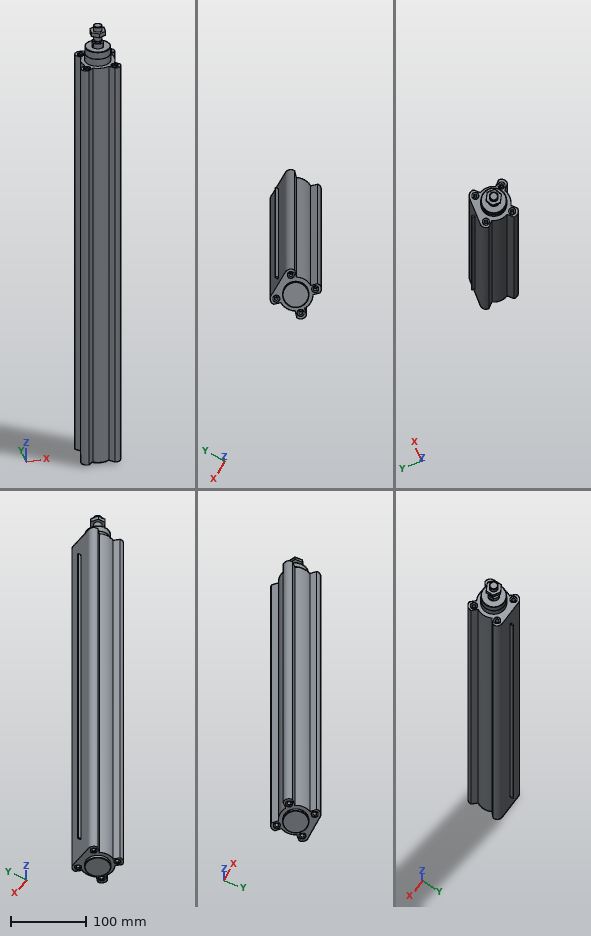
import cadquery as cq
import math

total_length = 662.0
foot_height = 4.5
body_top = 609.0
collar_step = 619.5
collar_top = 630.0

body_width = 54.0
barrel_diameter = 46.5
lobe_spacing = 38.0
flank_start = 18.0

collar_diameter = 35.0
collar_upper_diameter = 34.5
collar_chamfer = 0.5
foot_diameter = 35.0
foot_chamfer = 0.5

screw_hole_diameter = 4.9
screw_hole_depth = 16.0
screw_recess_diameter = 9.0
screw_recess_depth = 2.0

rail_width = 2.0
rail_height = 4.5
rail_bottom = 38.0
rail_top = 576.0

rod_diameter = 16.0
rod_flat_width = 13.0
thread_diameter = 12.0
thread_length = 24.5
thread_chamfer = 1.0
neck_diameter = 10.0
neck_height = 2.0

nut_across_flats = 19.0
nut_height = 6.0
nut_top = 654.5

half_width = body_width / 2
lobe_center = lobe_spacing / 2
lobe_radius = half_width - lobe_center
body_length = body_top - foot_height
shoulder_z = total_length - thread_length
neck_top = shoulder_z + neck_height
nut_bottom = nut_top - nut_height


def cylinder(diameter, bottom, top):
    """Upright cylinder on the Z axis."""
    return cq.Workplane("XY").workplane(offset=bottom).circle(diameter / 2).extrude(top - bottom)


def make_lobe(x_sign, y_sign):
    """Corner lobe: rounded outer corner, with 45 degree flanks running in to the barrel."""
    arc_middle = lobe_center + lobe_radius * math.sqrt(0.5)
    flank_run = half_width - flank_start
    flank_inner = flank_start - flank_run
    return (
        cq.Workplane("XY")
        .workplane(offset=foot_height)
        .moveTo(x_sign * half_width, y_sign * flank_start)
        .lineTo(x_sign * half_width, y_sign * lobe_center)
        .threePointArc(
            (x_sign * arc_middle, y_sign * arc_middle),
            (x_sign * lobe_center, y_sign * half_width),
        )
        .lineTo(x_sign * flank_start, y_sign * half_width)
        .lineTo(x_sign * flank_inner, y_sign * flank_start)
        .lineTo(x_sign * flank_start, y_sign * flank_inner)
        .close()
        .extrude(body_length)
    )


def make_body():
    """Barrel with its four lobes, a flat +Y side and the thin rail standing on that side."""
    body = cylinder(barrel_diameter, foot_height, body_top)
    for x_sign in (-1, 1):
        for y_sign in (-1, 1):
            body = body.union(make_lobe(x_sign, y_sign))

    on_y_side = (True, False, False)
    flat_side = cq.Workplane("XY").box(lobe_spacing, half_width, body_length, centered=on_y_side)
    body = body.union(flat_side.translate((0, 0, foot_height)))

    rail_length = rail_top - rail_bottom
    rail = cq.Workplane("XY").box(rail_width, rail_height, rail_length, centered=on_y_side)
    return body.union(rail.translate((0, half_width, rail_bottom)))


def make_screw_holes(end_z, inward):
    """Four recessed blind holes, one per lobe, sunk from one end of the body."""
    corners = (
        cq.Workplane("XY")
        .workplane(offset=end_z)
        .rect(lobe_spacing, lobe_spacing, forConstruction=True)
        .vertices()
    )
    recesses = corners.circle(screw_recess_diameter / 2).extrude(inward * screw_recess_depth)
    holes = corners.circle(screw_hole_diameter / 2).extrude(inward * screw_hole_depth)
    return recesses.union(holes)


def make_housing():
    """Body with stepped collar, foot, screw holes and the bore that holds the rod."""
    collar_lower = cylinder(collar_diameter, body_top, collar_step)
    collar_upper = cylinder(collar_upper_diameter, collar_step, collar_top)
    collar_upper = collar_upper.faces(">Z").chamfer(collar_chamfer)
    foot = cylinder(foot_diameter, 0, foot_height).faces("<Z").chamfer(foot_chamfer)
    housing = make_body().union(collar_lower).union(collar_upper).union(foot)

    housing = housing.cut(make_screw_holes(body_top, -1))
    housing = housing.cut(make_screw_holes(foot_height, 1))
    return housing.cut(cylinder(rod_diameter, body_top, collar_top))


def make_rod():
    """Rod with two wrench flats above the collar, an undercut neck and a chamfered thread end."""
    seat = cylinder(rod_diameter, body_top, collar_top)
    flats = cq.Workplane("XY").box(
        rod_flat_width, rod_diameter, shoulder_z - collar_top, centered=(True, True, False)
    )
    flats = flats.translate((0, 0, collar_top)).intersect(cylinder(rod_diameter, collar_top, shoulder_z))
    neck = cylinder(neck_diameter, shoulder_z, neck_top)
    thread = cylinder(thread_diameter, neck_top, total_length).faces("<Z or >Z").chamfer(thread_chamfer)
    return seat.union(flats).union(neck).union(thread)


def make_nut():
    """Hexagonal nut with two of its corners on the Y axis."""
    across_corners = nut_across_flats / math.cos(math.pi / 6)
    hexagon = (
        cq.Workplane("XY")
        .workplane(offset=nut_bottom)
        .transformed(rotate=(0, 0, 90))
        .polygon(6, across_corners)
        .extrude(nut_height)
    )
    return hexagon.cut(cylinder(thread_diameter, nut_bottom, nut_top))


housing = make_housing()
rod = make_rod()
nut = make_nut()

result = cq.Compound.makeCompound([housing.val(), rod.val(), nut.val()])